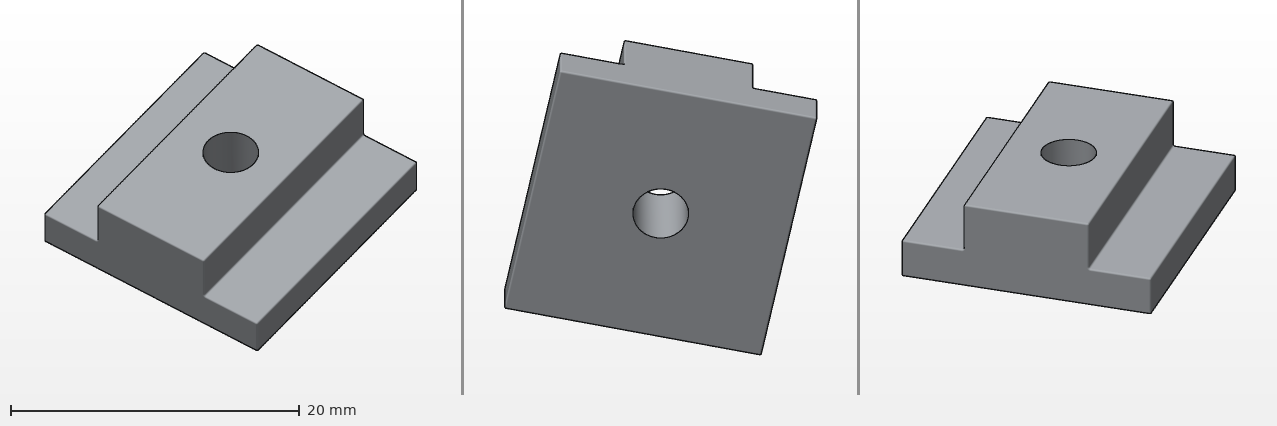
import cadquery as cq

length = 19.05
flange_width = 18.15
height = 6.35

rib_width = 9.1
flange_height = 2.8

hole_diameter = 3.85
edge_radius = 0.13


def bar(width, bar_height):
    """Rectangular bar along Y, centred in X and Y, resting on Z = 0."""
    return cq.Workplane("XY").box(width, length, bar_height, centered=(True, True, False))


def rounded_block():
    """T-shaped block; the long edges are rounded first, inner corners included, then the end outlines."""
    block = bar(flange_width, flange_height).union(bar(rib_width, height))
    block = block.edges("|Y").fillet(edge_radius)
    return block.faces("<Y or >Y").edges().fillet(edge_radius)


def through_hole():
    return cq.Workplane("XY").circle(hole_diameter / 2).extrude(height)


result = rounded_block().cut(through_hole())